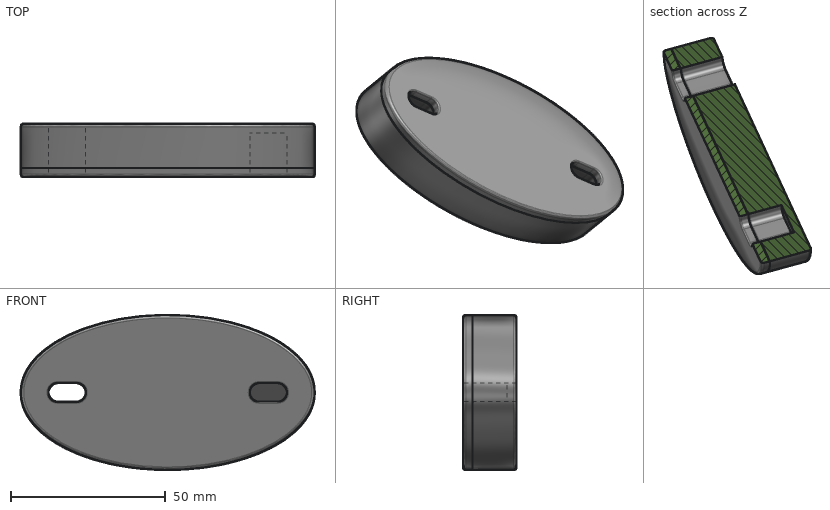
import cadquery as cq

LENGTH = 95.0
HEIGHT = 50.13

TOTAL_DEPTH = 17.3
PLATE_THICKNESS = 3.0
HOUSING_DEPTH = TOTAL_DEPTH - PLATE_THICKNESS
OUTER_ROUNDING = 1.0

SLOT_LENGTH = 12.0
SLOT_HEIGHT = 6.0
SLOT_OFFSET = 32.5
SLOT_RIM_ROUNDING = 0.5
BLIND_SLOT_FLOOR = 3.0

FRONT_Y = 0.0
JOINT_Y = FRONT_Y + PLATE_THICKNESS


def section_plane(y):
    """Plane across Y, with local X along X, local Y along Z and its normal toward the front (-Y)."""
    return cq.Workplane("XZ", origin=(0, y, 0))


def elliptical_disc(front_y, depth):
    """Elliptical disc that runs back from front_y."""
    return section_plane(front_y).ellipse(LENGTH / 2, HEIGHT / 2).extrude(-depth)


def cut_slot(body, x, front_y, depth):
    """Cut a slot into the front face of a body and round its front rim."""
    slot = section_plane(front_y).center(x, 0).slot2D(SLOT_LENGTH, SLOT_HEIGHT).extrude(-depth)
    front_rim = cq.selectors.BoxSelector(
        (x - SLOT_LENGTH, front_y - SLOT_RIM_ROUNDING, -SLOT_HEIGHT),
        (x + SLOT_LENGTH, front_y + SLOT_RIM_ROUNDING, SLOT_HEIGHT),
    )
    return body.cut(slot).edges(front_rim).fillet(SLOT_RIM_ROUNDING)


def make_front_plate():
    """Thin plate with a rounded front edge and two through slots."""
    plate = elliptical_disc(FRONT_Y, PLATE_THICKNESS)
    plate = plate.faces("<Y").edges().fillet(OUTER_ROUNDING)
    for x in (-SLOT_OFFSET, SLOT_OFFSET):
        plate = cut_slot(plate, x, FRONT_Y, PLATE_THICKNESS)
    return plate


def make_housing():
    """Deep body with a rounded back edge, a through slot at -X and a blind slot at +X."""
    housing = elliptical_disc(JOINT_Y, HOUSING_DEPTH)
    housing = housing.faces(">Y").edges().fillet(OUTER_ROUNDING)
    housing = cut_slot(housing, -SLOT_OFFSET, JOINT_Y, HOUSING_DEPTH)
    return cut_slot(housing, SLOT_OFFSET, JOINT_Y, HOUSING_DEPTH - BLIND_SLOT_FLOOR)


front_plate = make_front_plate().solids()
housing = make_housing().solids()
result = cq.Compound.makeCompound([front_plate.val(), housing.val()])